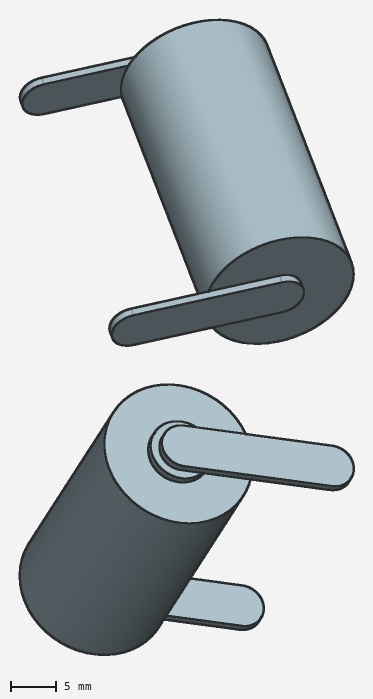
import cadquery as cq

overall_length = 36.0
body_diameter = 17.0
terminal_diameter = 7.0
terminal_height = 1.0
tab_thickness = 1.0
tab_width = 5.0
tab_reach = 17.0

left_end = -overall_length / 2
terminal_start = left_end + tab_thickness
body_start = terminal_start + terminal_height
body_end = overall_length / 2 - tab_thickness


def disc(diameter, start, end):
    """Cylinder on the X axis between two stations."""
    return cq.Workplane("YZ", origin=(start, 0, 0)).circle(diameter / 2).extrude(end - start)


def solder_tab(start):
    """Round-ended strip centred on the axis at one end and reaching toward -Y."""
    return (
        cq.Workplane("YZ", origin=(start, 0, 0))
        .center(-tab_reach / 2, 0)
        .slot2D(tab_reach + tab_width, tab_width)
        .extrude(tab_thickness)
    )


body = disc(body_diameter, body_start, body_end)
terminal = disc(terminal_diameter, terminal_start, body_start)

result = body.union(terminal)
for tab_start in (left_end, body_end):
    result = result.union(solder_tab(tab_start))